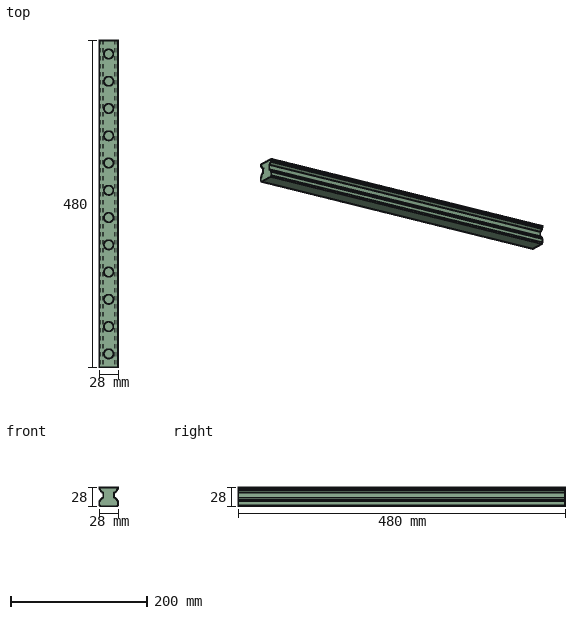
import cadquery as cq

length = 480.0
width = 28.0
height = 28.0

half_width = width / 2
web_half_width = 8.0
ledge_half_width = 9.0
raceway_half_width = 12.5

foot_chamfer = 2.0
web_bottom = 13.0
web_top = 20.0
raceway_height = 1.0

flank = raceway_half_width - ledge_half_width
edge_slope = half_width - raceway_half_width

lower_raceway_top = web_bottom - flank
lower_raceway_bottom = lower_raceway_top - raceway_height
upper_raceway_bottom = web_top + flank
upper_raceway_top = upper_raceway_bottom + raceway_height

cap_count = 12
cap_pitch = length / cap_count
cap_diameter = 14.0
cap_recess = 0.25


def rail_body():
    """Waisted rail section, mirrored about its centre plane and extruded along Y."""
    right_side = [
        (half_width - foot_chamfer, 0),
        (half_width, foot_chamfer),
        (half_width, lower_raceway_bottom - edge_slope),
        (raceway_half_width, lower_raceway_bottom),
        (raceway_half_width, lower_raceway_top),
        (ledge_half_width, web_bottom),
        (web_half_width, web_bottom),
        (web_half_width, web_top),
        (ledge_half_width, web_top),
        (raceway_half_width, upper_raceway_bottom),
        (raceway_half_width, upper_raceway_top),
        (half_width, upper_raceway_top + edge_slope),
        (half_width, height),
    ]
    left_side = [(-x, z) for x, z in reversed(right_side)]
    section = cq.Workplane("XZ").polyline(right_side + left_side).close()
    return section.extrude(length / 2, both=True)


def cap_recesses():
    """Shallow round recesses, with half a pitch left at each end of the rail."""
    return (
        cq.Workplane("XY")
        .workplane(offset=height - cap_recess)
        .rarray(5, cap_pitch, 1, cap_count)
        .circle(cap_diameter / 2)
        .extrude(cap_recess)
    )


result = rail_body().cut(cap_recesses())